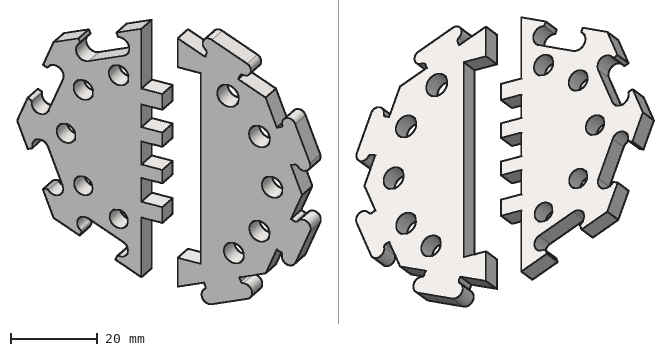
import cadquery as cq
import math


thickness = 5.0
corner_radius = 32.65
half_corner_angle = 22.5
edge_distance = corner_radius * math.cos(math.radians(half_corner_angle))
gap = 9.5

dovetail_end_spacing = 10.0
dovetail_neck_half_width = 5.0
dovetail_end_radius = 2.0
neck_fillet_radius = 0.5
neck_length = 3 * neck_fillet_radius
dovetail_end_height = neck_length + dovetail_end_radius
neck_overlap = 0.4
selection_margin = 0.1
edge_angles = [67.5, 22.5, -22.5, -67.5]
socket_allowances = [0.37, 0.26, 0.15, 0.05]
tab_allowances = [-0.29, -0.215, -0.14, 0.015]

tooth_length = 5.5
teeth = [(14.9, 4.15), (4.9, 3.8), (-4.8, 3.55), (-14.9, 4.15)]
recess_depth = 6.0
recess_height = 50.1

socket_half_hole_circle_radius = 19.8
socket_half_holes = [(72.4, 5.15), (39.5, 5.1), (0.0, 4.9), (-39.5, 4.85), (-72.4, 4.8)]
tab_half_hole_circle_radius = 24.8
tab_half_holes = [(57.8, 5.6), (30.1, 5.5), (0.0, 5.4), (-30.1, 5.3), (-53.5, 5.2)]


def sketch_plane():
    """XZ plane at the front face; positive extrusion goes toward -Y, so plates extrude by a negative."""
    return cq.Workplane("XZ", origin=(0, -thickness / 2, 0))


def plate_box(x_start, x_end, z_start, z_end):
    """Full-thickness box between the given X and Z limits."""
    return (
        sketch_plane()
        .center((x_start + x_end) / 2, (z_start + z_end) / 2)
        .rect(x_end - x_start, z_end - z_start)
        .extrude(-thickness)
    )


def half_octagon():
    """Half of the octagon on the +X side, with its straight side at X = 0."""
    corner_angles = [math.radians(2 * half_corner_angle * step) for step in range(-2, 3)]
    corners = [(corner_radius * math.cos(a), corner_radius * math.sin(a)) for a in corner_angles]
    return sketch_plane().polyline(corners).close().extrude(-thickness)


def dovetail(edge_angle, allowance, outward):
    """Dovetail on one octagon edge; outward is 1 for a tab and -1 for a socket."""
    end_radius = dovetail_end_radius + allowance
    neck_half_width = dovetail_neck_half_width + allowance
    fillet_radius = neck_fillet_radius - allowance
    end_x = edge_distance + outward * dovetail_end_height
    half_spacing = dovetail_end_spacing / 2

    neck_start = edge_distance - outward * neck_overlap
    neck = plate_box(min(neck_start, end_x), max(neck_start, end_x), -neck_half_width, neck_half_width)
    bar = plate_box(end_x - end_radius, end_x + end_radius, -half_spacing, half_spacing)
    ends = (
        sketch_plane()
        .pushPoints([(end_x, -half_spacing), (end_x, half_spacing)])
        .circle(end_radius)
        .extrude(-thickness)
    )
    corner_box = cq.selectors.BoxSelector(
        (edge_distance, -thickness, -neck_half_width - selection_margin),
        (end_x, thickness, neck_half_width + selection_margin),
    )
    shape = neck.union(bar).union(ends).edges("|Y").edges(corner_box).fillet(fillet_radius)
    return shape.rotate((0, 0, 0), (0, 1, 0), -edge_angle)


def round_holes(holes, circle_radius):
    """Through-hole cutters placed around the octagon centre."""
    cutters = cq.Workplane("XZ")
    for angle, diameter in holes:
        x = circle_radius * math.cos(math.radians(angle))
        z = circle_radius * math.sin(math.radians(angle))
        cutters = cutters.add(sketch_plane().center(x, z).circle(diameter / 2).extrude(-thickness))
    return cutters.combine()


def make_socket_half():
    """Half octagon with four sockets and a comb, mirrored to the -X side."""
    body = half_octagon()
    for edge_angle, allowance in zip(edge_angles, socket_allowances):
        body = body.cut(dovetail(edge_angle, allowance, -1))
    for tooth_height, tooth_width in teeth:
        tooth = plate_box(
            -tooth_length, 0, tooth_height - tooth_width / 2, tooth_height + tooth_width / 2
        )
        body = body.union(tooth)
    body = body.cut(round_holes(socket_half_holes, socket_half_hole_circle_radius))
    return body.mirror("YZ")


def make_tab_half():
    """Half octagon with four tabs and a recess, moved across the gap."""
    body = half_octagon()
    for edge_angle, allowance in zip(edge_angles, tab_allowances):
        body = body.union(dovetail(edge_angle, allowance, 1))
    body = body.cut(plate_box(0, recess_depth, -recess_height / 2, recess_height / 2))
    body = body.cut(round_holes(tab_half_holes, tab_half_hole_circle_radius))
    return body.translate((gap, 0, 0))


socket_half = make_socket_half()
tab_half = make_tab_half()

result = cq.Compound.makeCompound([socket_half.val(), tab_half.val()])